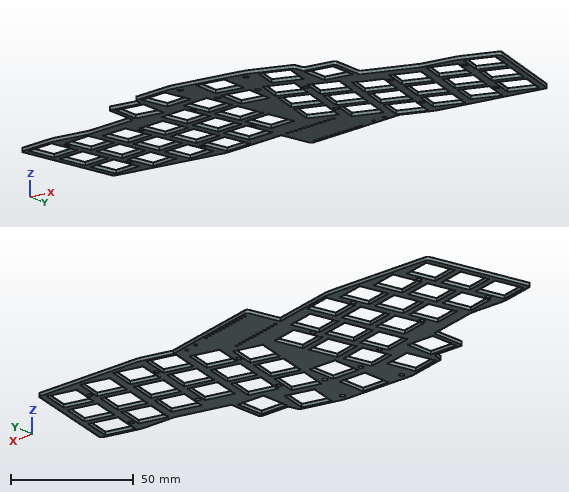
import cadquery as cq
import math

WIDTH = 238.7
DEPTH = 95.33
THICKNESS = 1.58
TILT = 13.0
SLOPE = math.tan(math.radians(TILT))

KEY_SIZE = 14.0
COLUMN_PITCH = 18.0
ROW_PITCH = 17.0
ROWS = 3
LEVEL_COLUMNS = 4
COLUMNS = 6
STAGGER = COLUMN_PITCH * SLOPE
OUTER_KEY = (-100.24, 28.965)
THUMB_KEY = (-28.68, -36.65)
CORNER_KEY = (-47.1, -29.1)
UPPER_CENTER_KEY_Y = -21.2
CENTER_KEYS_Y = (UPPER_CENTER_KEY_Y, UPPER_CENTER_KEY_Y - COLUMN_PITCH)

SCREW_DIAMETER = 2.3
GAP_SCREWS = [(0, 0, -0.4), (2, 0, -0.8), (0, 2, -0.4), (2, 2, -0.7), (4, 0, -5.3), (4, 2, -4.1)]
FREE_SCREWS = [(-10.0, -26.6), (-16.4, -44.1)]

CONTROLLER_CENTER = (-0.2, 35.15)
PIN_DIAMETER = 1.09
PIN_PITCH = 2.54
PIN_COUNT = 12
PIN_ROW_SPACING = 15.24
PAD_DIAMETER = 1.3
PAD_OFFSETS = [(22.7, 6.7), (29.3, 6.7)]

CORNER_RADIUS = 1.0
BEND_RADIUS = 20.0
SHARP = 0
TOP_EDGE_Y = 39.4
TOP_BEND_X = 52.3
WING_TIP_Y = -10.15
WING_BOTTOM_Y = -14.45
WING_BEND_X = 82.6
CORNER_KEY_SIDE_X = 56.4
CORNER_KEY_BOTTOM_Y = -37.7
CORNER_KEY_INNER_X = 40.6
THUMB_CORNER_X = 39.4
BOTTOM_BEND_X = 18.7
CONTROLLER_CORNER_X = -15.45
ROUNDING_LOSS = CORNER_RADIUS * (math.cos(math.radians(TILT)) + math.sin(math.radians(TILT)) - 1)


def tilted(origin, along, up):
    """Point at (along, up) from origin in the left hand's frame, which is turned clockwise."""
    angle = math.radians(TILT)
    x = origin[0] + along * math.cos(angle) + up * math.sin(angle)
    y = origin[1] - along * math.sin(angle) + up * math.cos(angle)
    return (x, y)


def mirrored(points):
    return [(-x, y) for x, y in points]


def key_center(column, row):
    """Centre of a key opening on the left hand, counted from the outer top key."""
    level_steps = min(column, LEVEL_COLUMNS - 1)
    falling_steps = column - level_steps
    shift = STAGGER * (level_steps - falling_steps)
    return tilted(OUTER_KEY, column * COLUMN_PITCH, shift - row * ROW_PITCH)


def side_corners(wing_bend_radius):
    """Left-hand outline from the wing's top corner to the bottom edge, as (point, radius) pairs."""
    tip_x = -WIDTH / 2 - ROUNDING_LOSS
    top_corner_x = tip_x + (TOP_EDGE_Y - WING_TIP_Y) * SLOPE
    wing_bottom_x = tip_x + (WING_TIP_Y - WING_BOTTOM_Y) / SLOPE
    key_side_y = WING_BOTTOM_Y - (WING_BEND_X - CORNER_KEY_SIDE_X) * SLOPE
    thumb_corner_y = -DEPTH / 2 + (THUMB_CORNER_X - BOTTOM_BEND_X) * SLOPE
    return [
        ((top_corner_x, TOP_EDGE_Y), CORNER_RADIUS),
        ((tip_x, WING_TIP_Y), CORNER_RADIUS),
        ((wing_bottom_x, WING_BOTTOM_Y), BEND_RADIUS),
        ((-WING_BEND_X, WING_BOTTOM_Y), wing_bend_radius),
        ((-CORNER_KEY_SIDE_X, key_side_y), CORNER_RADIUS),
        ((-CORNER_KEY_SIDE_X, CORNER_KEY_BOTTOM_Y), CORNER_RADIUS),
        ((-CORNER_KEY_INNER_X, CORNER_KEY_BOTTOM_Y), CORNER_RADIUS),
        ((-THUMB_CORNER_X, thumb_corner_y), CORNER_RADIUS),
        ((-BOTTOM_BEND_X, -DEPTH / 2), BEND_RADIUS),
    ]


def top_corners():
    """Top outline from right to left around the controller area, as (point, radius) pairs."""
    peak = (CONTROLLER_CORNER_X, DEPTH / 2 + ROUNDING_LOSS)
    slope_y_below_peak = TOP_EDGE_Y - (TOP_BEND_X + peak[0]) * SLOPE
    side_length = (peak[1] - slope_y_below_peak) * math.cos(math.radians(TILT))
    foot = tilted(peak, 0, -side_length)
    long_edge_y_at_axis = peak[1] + peak[0] * SLOPE
    slope_y_at_axis = TOP_EDGE_Y - TOP_BEND_X * SLOPE
    meeting_x = (long_edge_y_at_axis - slope_y_at_axis) / (2 * SLOPE)
    meeting = (meeting_x, slope_y_at_axis + meeting_x * SLOPE)
    return [
        ((TOP_BEND_X, TOP_EDGE_Y), BEND_RADIUS),
        (meeting, SHARP),
        (peak, CORNER_RADIUS),
        (foot, SHARP),
        ((-TOP_BEND_X, TOP_EDGE_Y), BEND_RADIUS),
    ]


def plate():
    left = side_corners(BEND_RADIUS)
    right = [((-x, y), radius) for (x, y), radius in reversed(side_corners(SHARP))]
    corners = left + right + top_corners()
    points = [point for point, radius in corners]
    blank = cq.Workplane("XY").polyline(points).close().extrude(THICKNESS)
    for (x, y), radius in corners:
        if radius != SHARP:
            corner_edge = cq.selectors.NearestToPointSelector((x, y, THICKNESS / 2))
            blank = blank.edges("|Z").edges(corner_edge).fillet(radius)
    return blank


def cut_keys(body, centers, angle):
    """Cut square key openings, each turned by angle about its own centre."""
    turned = cq.Sketch().push(centers).rect(KEY_SIZE, KEY_SIZE, angle=angle)
    return body.cut(cq.Workplane("XY").placeSketch(turned).extrude(THICKNESS))


def cut_holes(body, centers, diameter):
    return body.cut(cq.Workplane("XY").pushPoints(centers).circle(diameter / 2).extrude(THICKNESS))


def pin_centers():
    centers = []
    for side in (-1, 1):
        for index in range(PIN_COUNT):
            along = (index - (PIN_COUNT - 1) / 2) * PIN_PITCH
            centers.append(tilted(CONTROLLER_CENTER, along, side * PIN_ROW_SPACING / 2))
    return centers


def screw_centers():
    """Left-hand screws: midway between two columns, plus the free-standing ones."""
    centers = list(FREE_SCREWS)
    for column, row, shift in GAP_SCREWS:
        centers.append(tilted(key_center(column, row), COLUMN_PITCH / 2, shift))
    return centers


left_keys = [key_center(column, row) for column in range(COLUMNS) for row in range(ROWS)]
left_keys.append(THUMB_KEY)
straight_keys = [CORNER_KEY] + mirrored([CORNER_KEY]) + [(0, y) for y in CENTER_KEYS_Y]
screws = screw_centers()
pads = [tilted(CONTROLLER_CENTER, along, up) for along, up in PAD_OFFSETS]

result = plate()
result = cut_keys(result, left_keys, -TILT)
result = cut_keys(result, mirrored(left_keys), TILT)
result = cut_keys(result, straight_keys, 0)
result = cut_holes(result, screws + mirrored(screws), SCREW_DIAMETER)
result = cut_holes(result, pin_centers(), PIN_DIAMETER)
result = cut_holes(result, pads, PAD_DIAMETER)